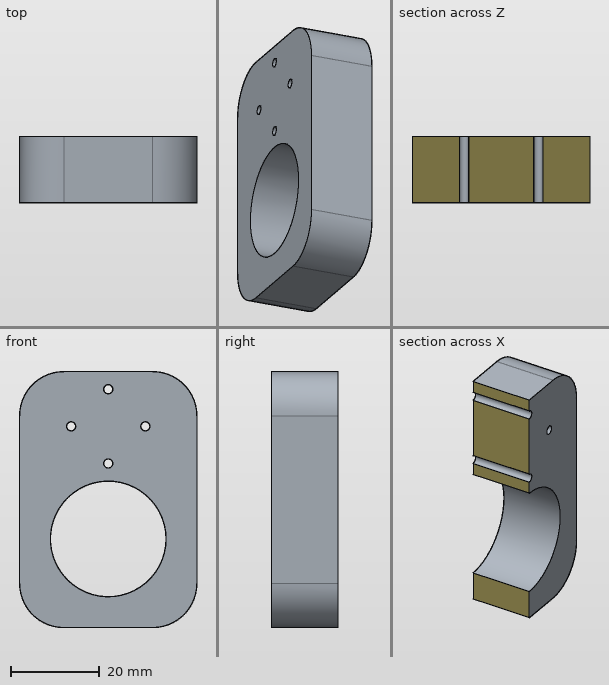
import cadquery as cq

thickness = 15.0
bore_diameter = 26.0
bore_wall = 7.0
corner_radius = 10.0
screw_hole_diameter = 2.0
screw_circle_diameter = 16.73
screw_margin = 4.0

bore_radius = bore_diameter / 2
screw_circle_radius = screw_circle_diameter / 2
width = bore_diameter + 2 * bore_wall
bottom_z = -(bore_radius + bore_wall)
screw_circle_z = bore_radius + screw_margin + screw_circle_radius
top_z = screw_circle_z + screw_circle_radius + screw_margin
height = top_z - bottom_z


def make_block():
    """Block centred on Y = 0, with its four Y-direction edges rounded."""
    block = cq.Workplane("XY").box(width, thickness, height)
    block = block.edges("|Y").fillet(corner_radius)
    return block.translate((0, 0, (top_z + bottom_z) / 2))


def make_bore():
    """Cylinder for the large through bore."""
    return cq.Workplane("XZ").circle(bore_radius).extrude(thickness / 2, both=True)


def make_screw_holes():
    """Four through holes at the quarter points of the screw circle."""
    return (
        cq.Workplane("XZ")
        .center(0, screw_circle_z)
        .polarArray(screw_circle_radius, 0, 360, 4)
        .circle(screw_hole_diameter / 2)
        .extrude(thickness / 2, both=True)
    )


result = make_block().cut(make_bore()).cut(make_screw_holes())